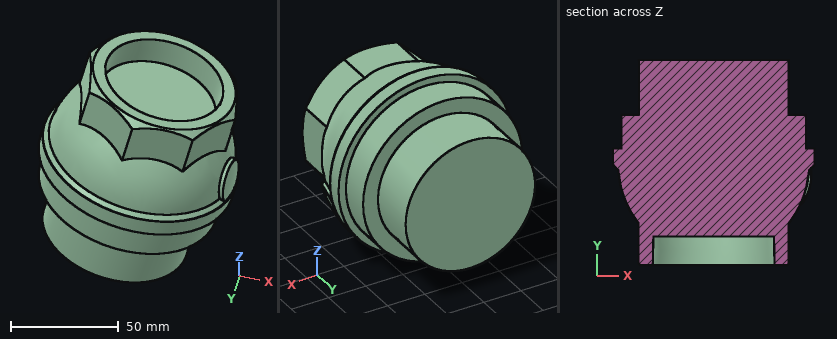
import cadquery as cq
import math

length = 95.25
dome_center_y = 46.8
collar_front_y = 46.2
collar_back_y = 54.2
shoulder_back_y = 69.9

dome_radius = 44.5
collar_diameter = 93.6
collar_radius = collar_diameter / 2
shoulder_radius = 42.9
pipe_radius = 34.9
collar_lip = 0.2
collar_chamfer = 2.4

octagon_sides = 8
octagon_flats = 69.7
octagon_face_radius = 34.1

bore_mouth_radius = 28.2
bore_floor_radius = 27.9
bore_depth = 13.3

pad_radius = 10.0
pad_center_y = 37.8
pad_height = 2.0
pad_angle = 22.5


def cylinder(radius, start_y, end_y):
    """Cylinder around the Y axis."""
    return cq.Workplane("XZ", origin=(0, start_y, 0)).circle(radius).extrude(start_y - end_y)


def cone(start_radius, end_radius, start_y, end_y):
    """Truncated cone around the Y axis."""
    profile = [(0, start_y), (start_radius, start_y), (end_radius, end_y), (0, end_y)]
    return cq.Workplane("XY").polyline(profile).close().revolve(360, (0, 0, 0), (0, 1, 0))


def dome_ball(radius):
    """Ball centred on the dome."""
    return cq.Workplane("XY").sphere(radius).translate((0, dome_center_y, 0))


def make_collar():
    """Collar with a small lip and a 45 degree chamfer towards the dome."""
    chamfer_radius = collar_radius - collar_lip
    chamfer = cone(
        chamfer_radius - collar_chamfer, chamfer_radius, collar_front_y - collar_chamfer, collar_front_y
    )
    return cylinder(collar_radius, collar_front_y, collar_back_y).union(chamfer)


def make_octagon():
    """Octagon with flats square to X and Z and 45 degree chamfered corners."""
    half_side_angle = 180 / octagon_sides
    across_corners = octagon_flats / math.cos(math.radians(half_side_angle))
    prism = (
        cq.Workplane("XZ")
        .transformed(rotate=(0, 0, half_side_angle))
        .polygon(octagon_sides, across_corners)
        .extrude(-dome_center_y)
    )
    corner_chamfer = cone(octagon_face_radius, octagon_face_radius + dome_center_y, 0, dome_center_y)
    return prism.intersect(corner_chamfer)


def make_pad():
    """Radial pad whose face is concentric with the dome."""
    pad = cq.Workplane("YZ").center(pad_center_y, 0).circle(pad_radius).extrude(dome_radius + 2 * pad_height)
    pad = pad.intersect(dome_ball(dome_radius + pad_height))
    return pad.rotate((0, 0, 0), (0, 1, 0), pad_angle)


dome = dome_ball(dome_radius).intersect(cylinder(collar_radius, 0, collar_back_y))
body = dome.union(make_collar())
body = body.union(cylinder(shoulder_radius, collar_back_y, shoulder_back_y))
body = body.union(cylinder(pipe_radius, shoulder_back_y, length))
body = body.union(make_octagon()).union(make_pad())
result = body.cut(cone(bore_mouth_radius, bore_floor_radius, 0, bore_depth))